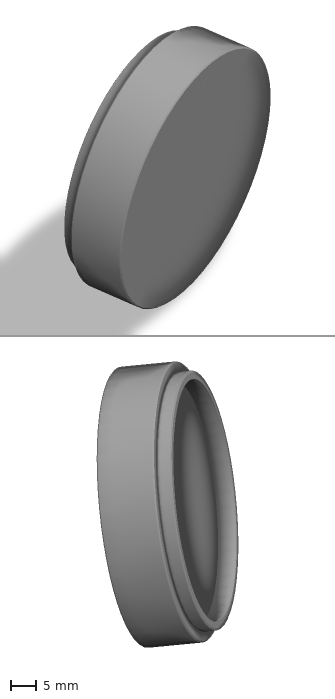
import cadquery as cq

total_length = 14.75
front_x = -total_length / 2
back_x = total_length / 2
collar_length = 3.0
shoulder_x = front_x + collar_length
groove_width = 0.3
optic_recess = 3.8

body_radius = 27.95
collar_radius = 25.8
groove_depth = 0.3
groove_radius = collar_radius - groove_depth
bore_radius = 24.15

body_chamfer = 0.3
collar_chamfer_length = 0.2
collar_chamfer_height = 0.4


def make_housing():
    """Ring turned about the X axis: collar, relief groove, wide body and through bore."""
    profile = (
        cq.Workplane("XY")
        .moveTo(front_x, bore_radius)
        .lineTo(front_x, collar_radius - collar_chamfer_height)
        .lineTo(front_x + collar_chamfer_length, collar_radius)
        .lineTo(shoulder_x - groove_width, collar_radius)
        .lineTo(shoulder_x - groove_width, groove_radius)
        .lineTo(shoulder_x, groove_radius)
        .lineTo(shoulder_x, body_radius - body_chamfer)
        .lineTo(shoulder_x + body_chamfer, body_radius)
        .lineTo(back_x - body_chamfer, body_radius)
        .lineTo(back_x, body_radius - body_chamfer)
        .lineTo(back_x, bore_radius)
        .close()
    )
    return profile.revolve(360, (0, 0, 0), (1, 0, 0))


def make_optic():
    """Flat disc that fills the bore from the recess floor to the back face."""
    optic_front_x = front_x + optic_recess
    optic_thickness = back_x - optic_front_x
    front_plane = cq.Workplane("YZ", origin=(optic_front_x, 0, 0))
    return front_plane.circle(bore_radius).extrude(optic_thickness)


housing = make_housing()
optic = make_optic()

result = cq.Compound.makeCompound([housing.val(), optic.val()])